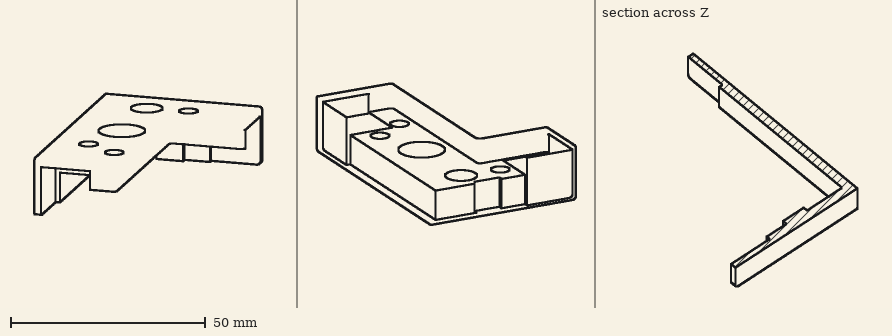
import cadquery as cq

LENGTH_X = 42.0
LENGTH_Y = 63.5
HEIGHT = 15.1

LEG_WIDTH = 22.0
ARM_START_Y = 47.7
PLATE_BOTTOM = 8.0
EDGE_RADIUS = 1.0

WALL_THICKNESS = 2.9

PAD_LEFT = 14.8
PAD_RIGHT = LEG_WIDTH
PAD_PROJECTION = 1.3

POCKET_WALL = 1.8
POCKET_SIDE = 13.2
POCKET_TOP = 13.0

HOLES = [
    (14.0, 31.5, 12.0),
    (14.0, 53.5, 8.2),
    (25.0, 54.1, 4.8),
    (9.4, 17.2, 4.8),
    (18.0, 11.5, 4.8),
]


def box(x_range, y_range, z_range):
    """Axis-aligned block between the given limits."""
    origin = (x_range[0], y_range[0], z_range[0])
    return cq.Workplane("XY", origin=origin).box(
        x_range[1] - x_range[0],
        y_range[1] - y_range[0],
        z_range[1] - z_range[0],
        centered=False,
    )


def make_plate():
    """L-shaped plate, rounded on its free corners and free top edges."""
    outline = [
        (0, 0),
        (LEG_WIDTH, 0),
        (LEG_WIDTH, ARM_START_Y),
        (LENGTH_X, ARM_START_Y),
        (LENGTH_X, LENGTH_Y),
        (0, LENGTH_Y),
    ]
    plate = (
        cq.Workplane("XY", origin=(0, 0, PLATE_BOTTOM))
        .polyline(outline)
        .close()
        .extrude(HEIGHT - PLATE_BOTTOM)
    )
    middle_z = (PLATE_BOTTOM + HEIGHT) / 2
    for corner_x, corner_y in outline[1:4]:
        corner = cq.selectors.NearestToPointSelector((corner_x, corner_y, middle_z))
        plate = plate.edges("|Z").edges(corner).fillet(EDGE_RADIUS)

    sharp_edges = cq.selectors.StringSyntaxSelector("<X or >Y")
    free_top_edges = cq.selectors.SubtractSelector(
        cq.selectors.StringSyntaxSelector(">Z"), sharp_edges
    )
    return plate.edges(free_top_edges).fillet(EDGE_RADIUS)


def make_left_wall():
    """Wall along the left side, rounded at its front bottom edge."""
    wall = box((0, WALL_THICKNESS), (0, LENGTH_Y), (0, PLATE_BOTTOM))
    return wall.edges("<Y and <Z").fillet(EDGE_RADIUS)


def make_back_wall():
    """Wall along the back, rounded at its right bottom edge, with a pad inside."""
    inner_y = LENGTH_Y - WALL_THICKNESS
    wall = box((0, LENGTH_X), (inner_y, LENGTH_Y), (0, PLATE_BOTTOM))
    wall = wall.edges(">X and <Z").fillet(EDGE_RADIUS)
    pad = box((PAD_LEFT, PAD_RIGHT), (inner_y - PAD_PROJECTION, inner_y), (0, PLATE_BOTTOM))
    return wall.union(pad)


def make_pockets():
    """Square clearance volumes open below and at the end, each thinning the wall beside it."""
    leg_pocket = box(
        (POCKET_WALL, POCKET_WALL + POCKET_SIDE),
        (0, POCKET_SIDE),
        (0, POCKET_TOP),
    )
    arm_inner_y = LENGTH_Y - POCKET_WALL
    arm_pocket = box(
        (LENGTH_X - POCKET_SIDE, LENGTH_X),
        (arm_inner_y - POCKET_SIDE, arm_inner_y),
        (0, POCKET_TOP),
    )
    return leg_pocket.union(arm_pocket)


def make_holes():
    """Cylinders for all the vertical through holes."""
    holes = cq.Workplane("XY")
    for x, y, diameter in HOLES:
        hole = cq.Workplane("XY").center(x, y).circle(diameter / 2).extrude(HEIGHT)
        holes = holes.add(hole)
    return holes.combine()


result = (
    make_plate()
    .union(make_left_wall())
    .union(make_back_wall())
    .cut(make_pockets())
    .cut(make_holes())
)